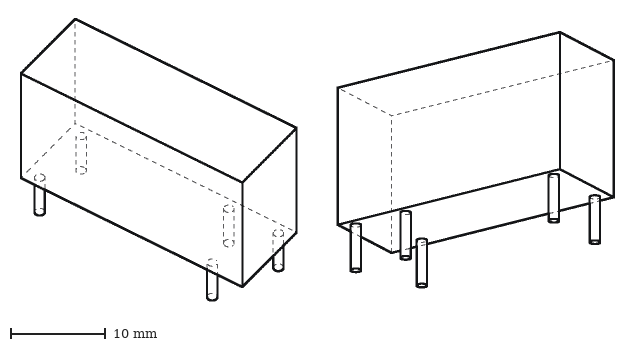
import cadquery as cq

housing_length = 28.5
housing_width = 10.0
housing_height = 15.5

pin_diameter = 1.1
pin_length = 5.1
row_spacing = 7.6
end_pin_inset = 1.6
contact_span = 19.0
contact_pitch = 3.2

front_row_y = -row_spacing / 2
back_row_y = row_spacing / 2
end_pin_x = -housing_length / 2 + end_pin_inset
first_contact_x = end_pin_x + contact_span

pin_places = [
    (end_pin_x, front_row_y),
    (end_pin_x, back_row_y),
    (first_contact_x, back_row_y),
    (first_contact_x + contact_pitch, front_row_y),
    (first_contact_x + 2 * contact_pitch, back_row_y),
]


def make_housing():
    """Plain rectangular block."""
    return cq.Workplane("XY").box(
        housing_length, housing_width, housing_height, centered=(True, True, False)
    )


def make_pin(x, y):
    """Straight round pin hanging from the underside of the housing."""
    return cq.Workplane("XY").center(x, y).circle(pin_diameter / 2).extrude(-pin_length)


housing = make_housing()
pins = [make_pin(x, y) for x, y in pin_places]

result = cq.Compound.makeCompound([housing.val(), *[pin.val() for pin in pins]])